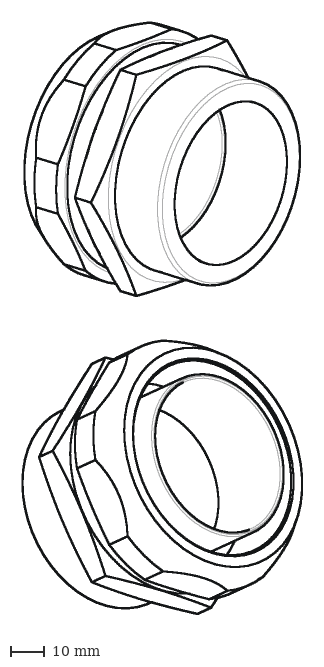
import cadquery as cq
import math

cap_front = 2.5
cap_rear = 20.5
nut_front = 26.9
nut_rear = 36.5
overall_length = 54.5

hex_sides = 6

cap_across_flats = 74.0
cap_diameter = 78.0
cap_cone_length = 8.5
cap_cone_angle = 30.0
cap_rear_bevel_length = 0.8
cap_rear_bevel_angle = 15.0
cap_bore_diameter = 60.5
cap_bore_chamfer = 0.5
cap_recess_depth = 24.0
recess_floor = cap_front + cap_recess_depth

nut_across_flats = 70.0
nut_face_diameter = 69.0
nut_bevel_angle = 15.0

collar_diameter = 70.0
spigot_diameter = 63.0
spigot_round = 1.0

sleeve_diameter = 50.5
bore_diameter = 48.0
sleeve_lip_round = 0.5
rear_bore_diameter = 50.0
rear_bore_start = 30.0


def slope(angle):
    return math.tan(math.radians(angle))


def revolve_profile(points):
    """Solid of revolution about X from (x, radius) points."""
    return cq.Workplane("XY").polyline(points).close().revolve(360, (0, 0, 0), (1, 0, 0))


def cylinder(start, end, diameter):
    return cq.Workplane("YZ").workplane(offset=start).circle(diameter / 2).extrude(end - start)


def across_corners(across_flats):
    return across_flats / math.cos(math.pi / hex_sides)


def hex_prism(start, end, across_flats):
    """Hexagonal prism along X with flats facing +Z and -Z."""
    plane = cq.Workplane("YZ").workplane(offset=start)
    return plane.polygon(hex_sides, across_corners(across_flats)).extrude(end - start)


def make_cap():
    """Hexagon trimmed by a coned round envelope, leaving rounded corners."""
    radius = cap_diameter / 2
    front_radius = radius - cap_cone_length * slope(cap_cone_angle)
    rear_radius = radius - cap_rear_bevel_length / slope(cap_rear_bevel_angle)
    envelope = revolve_profile([
        (cap_front, 0),
        (cap_front, front_radius),
        (cap_front + cap_cone_length, radius),
        (cap_rear - cap_rear_bevel_length, radius),
        (cap_rear, rear_radius),
        (cap_rear, 0),
    ])
    return hex_prism(cap_front, cap_rear, cap_across_flats).intersect(envelope)


def make_nut():
    """Hexagon with sharp corners bevelled towards both faces."""
    corner_radius = across_corners(nut_across_flats) / 2
    face_radius = nut_face_diameter / 2
    bevel_length = (corner_radius - face_radius) * slope(nut_bevel_angle)
    envelope = revolve_profile([
        (nut_front, 0),
        (nut_front, face_radius),
        (nut_front + bevel_length, corner_radius),
        (nut_rear - bevel_length, corner_radius),
        (nut_rear, face_radius),
        (nut_rear, 0),
    ])
    return hex_prism(nut_front, nut_rear, nut_across_flats).intersect(envelope)


def make_spigot():
    return cylinder(nut_rear, overall_length, spigot_diameter).faces(">X").fillet(spigot_round)


def make_cap_recess():
    """Cavity inside the cap, with a chamfered mouth; the sleeve stands in it."""
    radius = cap_bore_diameter / 2
    return revolve_profile([
        (cap_front, 0),
        (cap_front, radius + cap_bore_chamfer),
        (cap_front + cap_bore_chamfer, radius),
        (recess_floor, radius),
        (recess_floor, 0),
    ])


def make_sleeve():
    """Sleeve blank with a rounded outer edge at its free tip."""
    sleeve = cylinder(0, recess_floor, sleeve_diameter)
    return sleeve.faces("<X").fillet(sleeve_lip_round)


def make_bore():
    """Through bore, wider at the rear; both ends of its narrow stretch flare with rounded lips."""
    radius = bore_diameter / 2
    lip_radius = radius + sleeve_lip_round
    rear_radius = rear_bore_diameter / 2
    arc_inset = sleeve_lip_round * (1 - math.sqrt(0.5))
    return (
        cq.Workplane("XY")
        .moveTo(0, 0)
        .lineTo(0, lip_radius)
        .threePointArc((arc_inset, radius + arc_inset), (sleeve_lip_round, radius))
        .lineTo(rear_bore_start - sleeve_lip_round, radius)
        .threePointArc((rear_bore_start - arc_inset, radius + arc_inset), (rear_bore_start, lip_radius))
        .lineTo(rear_bore_start, rear_radius)
        .lineTo(overall_length, rear_radius)
        .lineTo(overall_length, 0)
        .close()
        .revolve(360, (0, 0, 0), (1, 0, 0))
    )


collar = cylinder(cap_rear, nut_front, collar_diameter)
outer_body = make_cap().union(collar).union(make_nut()).union(make_spigot())
result = outer_body.cut(make_cap_recess()).union(make_sleeve()).cut(make_bore())